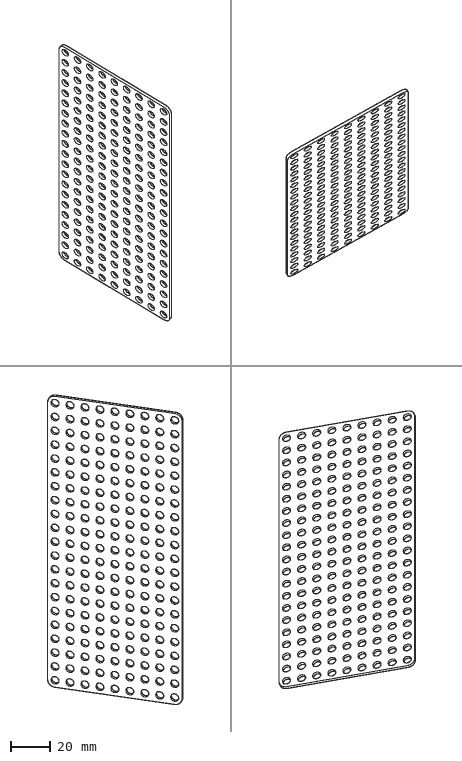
import cadquery as cq

height = 168.0
rows = 21
columns = 9
thickness = 1.6
hole_diameter = 4.2

pitch = height / rows
width = columns * pitch
corner_radius = pitch / 2


def make_plate():
    """Flat plate centred on the origin, with its four corners rounded."""
    plate = cq.Workplane("XY").box(width, thickness, height)
    return plate.edges("|Y").fillet(corner_radius)


def drill_hole_grid(plate):
    """Drill a through hole at the centre of every grid cell."""
    return (
        plate.faces("<Y")
        .workplane(origin=(0, 0, 0))
        .rarray(pitch, pitch, columns, rows)
        .hole(hole_diameter)
    )


result = drill_hole_grid(make_plate())